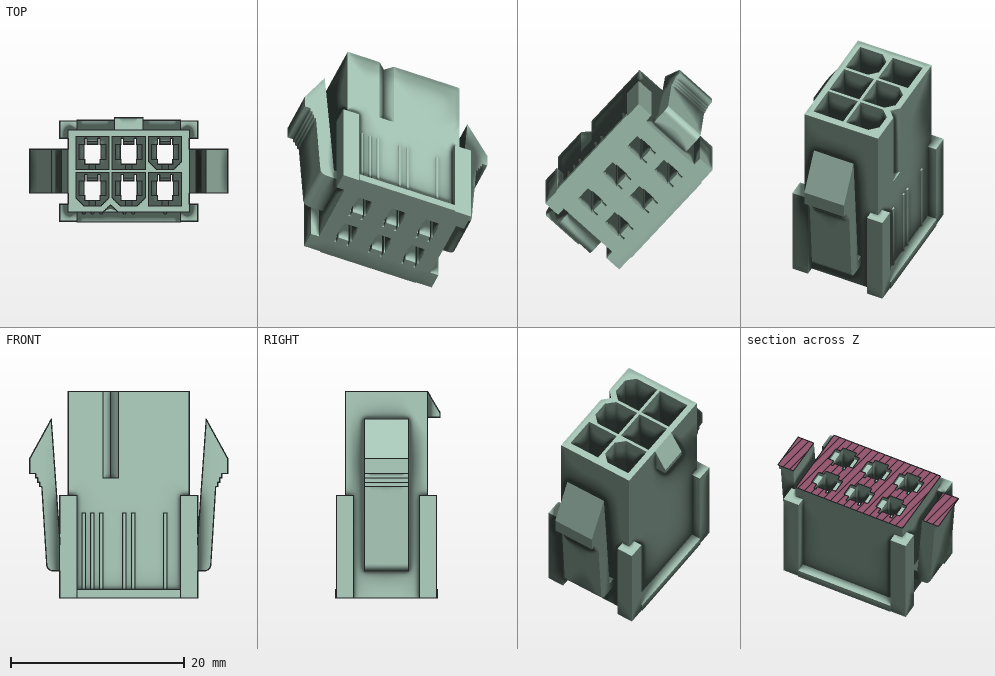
import cadquery as cq

HEIGHT = 23.9
BODY_X = 14.0
BODY_Y = 9.5

POST_SPAN_X = 16.0
POST_SPAN_Y = 11.6
POST_SIDE = 2.0
POST_HEIGHT = 11.9
FLANGE_X = POST_SPAN_X - 2 * POST_SIDE
FLANGE_Y = 11.8
FLANGE_HEIGHT = 1.0

RAMP_WIDTH = 3.35
RAMP_REACH = 6.2
RAMP_HEIGHT = 3.0
RAMP_LIP = 0.55

GROOVE_X = -2.1
GROOVE_HALF_WIDTH = 0.9
GROOVE_DEPTH = 0.85
GROOVE_LENGTH = 10.0

RIB_RADIUS = 0.2
RIB_TOP = 9.85
RIB_POSITIONS = (-5.2, -4.2, -3.2, -0.5, 0.5, 4.2)

LATCH_WIDTH = 5.1
LATCH_OUTER_X = 11.45
LATCH_TIP_X = 8.95
LATCH_TIP_Z = 20.7
LATCH_SHOULDER_Z = 16.15
LATCH_HOOK_Z = 14.4
LATCH_STEP_TOP_X = 10.75
LATCH_STEP_RUN = 0.23
LATCH_STEP_DROP = 0.5
LATCH_STEPS = 3
LATCH_HEEL_X = 9.45
LATCH_BOTTOM_Z = 3.15
LATCH_HEEL_RADIUS = 0.8
LATCH_FLOOR_Z = 4.55
LATCH_FLOOR_X = 7.8

CELL_PITCH = 4.2
CELL_SIDE = 3.85
CELL_DEPTH = 10.0
CELL_CHAMFER = 0.95
CELL_FLOOR_Z = HEIGHT - CELL_DEPTH
COLUMNS = (-1, 0, 1)
ROWS = (-0.5, 0.5)
KEYED_CELLS = ((-1, -0.5), (0, -0.5), (1, 0.5))

WINDOW_HALF_X = 0.97
WINDOW_TOP_Y = 0.98
WINDOW_STEP_Y = -0.73
WINDOW_BOTTOM_Y = -1.28
SLIT_OUTER_X = 0.87
TONGUE_HALF_X = 0.63
SLIT_TOP_Y = 1.7
TONGUE_STEP_Y = 1.32
SIDE_RECESS_HALF_X = 1.55
CHANNEL_HALF_X = 0.37
CHANNEL_DROP = 0.08
RECESS_DEPTH = 1.0


def block(x_min, x_max, y_min, y_max, z_min, z_max):
    """Axis-aligned box given by its limits."""
    size = (x_max - x_min, y_max - y_min, z_max - z_min)
    return cq.Workplane("XY").box(*size, centered=False).translate((x_min, y_min, z_min))


def centered_block(size_x, size_y, height):
    """Box standing on Z = 0, centred in X and Y."""
    return cq.Workplane("XY").box(size_x, size_y, height, centered=(True, True, False))


def make_shell():
    """Body with its corner posts and base flange."""
    post_x = (POST_SPAN_X - POST_SIDE) / 2
    post_y = (POST_SPAN_Y - POST_SIDE) / 2
    shell = centered_block(BODY_X, BODY_Y, HEIGHT)
    shell = shell.union(centered_block(FLANGE_X, FLANGE_Y, FLANGE_HEIGHT))
    for x in (-post_x, post_x):
        for y in (-post_y, post_y):
            shell = shell.union(centered_block(POST_SIDE, POST_SIDE, POST_HEIGHT).translate((x, y, 0)))
    return shell


def make_ramp():
    """Locking ramp rising outward from the top edge of the +Y face."""
    wall_y = BODY_Y / 2
    bottom = HEIGHT - RAMP_HEIGHT
    profile = [(wall_y, HEIGHT), (RAMP_REACH, bottom + RAMP_LIP), (RAMP_REACH, bottom), (wall_y, bottom)]
    return cq.Workplane("YZ").polyline(profile).close().extrude(RAMP_WIDTH / 2, both=True)


def make_groove():
    """V groove cutter, open at the top."""
    wall_y = -BODY_Y / 2
    profile = [
        (GROOVE_X - GROOVE_HALF_WIDTH, wall_y),
        (GROOVE_X, wall_y + GROOVE_DEPTH),
        (GROOVE_X + GROOVE_HALF_WIDTH, wall_y),
    ]
    groove_floor = cq.Workplane("XY").workplane(offset=HEIGHT - GROOVE_LENGTH)
    return groove_floor.polyline(profile).close().extrude(GROOVE_LENGTH)


def make_ribs():
    """Vertical half-round ribs: round bars centred on the -Y face."""
    centers = [(x, -BODY_Y / 2) for x in RIB_POSITIONS]
    return cq.Workplane("XY").pushPoints(centers).circle(RIB_RADIUS).extrude(RIB_TOP)


def make_latch():
    """Flexible +X latch arm: hooked head, stepped throat and a foot joined to the body."""
    wall_x = BODY_X / 2
    profile = [
        (wall_x, LATCH_FLOOR_Z),
        (LATCH_FLOOR_X, LATCH_FLOOR_Z),
        (LATCH_TIP_X, LATCH_TIP_Z),
        (LATCH_OUTER_X, LATCH_SHOULDER_Z),
        (LATCH_OUTER_X, LATCH_HOOK_Z),
    ]
    for step in range(LATCH_STEPS):
        x = LATCH_STEP_TOP_X - step * LATCH_STEP_RUN
        z = LATCH_HOOK_Z - step * LATCH_STEP_DROP
        profile += [(x, z), (x, z - LATCH_STEP_DROP)]
    throat_x = LATCH_STEP_TOP_X - LATCH_STEPS * LATCH_STEP_RUN
    throat_z = LATCH_HOOK_Z - LATCH_STEPS * LATCH_STEP_DROP
    profile += [(throat_x, throat_z), (LATCH_HEEL_X, LATCH_BOTTOM_Z), (wall_x, LATCH_BOTTOM_Z)]
    arm = cq.Workplane("XZ").polyline(profile).close().extrude(LATCH_WIDTH / 2, both=True)
    heel = cq.selectors.NearestToPointSelector((LATCH_HEEL_X, 0, LATCH_BOTTOM_Z))
    return arm.edges("|Y").edges(heel).fillet(LATCH_HEEL_RADIUS)


def make_cell(keyed):
    """Cutter for one contact cell and the passage below it, centred on the Z axis.

    A shallow channel slopes down from the passage to the -Y wall.
    """
    half = CELL_SIDE / 2
    recess_z = CELL_FLOOR_Z - RECESS_DEPTH
    cell = centered_block(CELL_SIDE, CELL_SIDE, CELL_DEPTH).translate((0, 0, CELL_FLOOR_Z))
    if keyed:
        cell = cell.edges("|Z and <Y").chamfer(CELL_CHAMFER)

    cell = cell.union(block(-WINDOW_HALF_X, WINDOW_HALF_X, WINDOW_STEP_Y, WINDOW_TOP_Y, 0, CELL_FLOOR_Z))
    cell = cell.union(block(-SLIT_OUTER_X, SLIT_OUTER_X, WINDOW_BOTTOM_Y, WINDOW_STEP_Y, 0, CELL_FLOOR_Z))
    for x_min, x_max in ((-SLIT_OUTER_X, -TONGUE_HALF_X), (TONGUE_HALF_X, SLIT_OUTER_X)):
        cell = cell.union(block(x_min, x_max, WINDOW_TOP_Y, SLIT_TOP_Y, 0, CELL_FLOOR_Z))

    recesses = (
        (SIDE_RECESS_HALF_X, WINDOW_STEP_Y, WINDOW_TOP_Y),
        (TONGUE_HALF_X, WINDOW_TOP_Y, TONGUE_STEP_Y),
    )
    for half_x, y_min, y_max in recesses:
        cell = cell.union(block(-half_x, half_x, y_min, y_max, recess_z, CELL_FLOOR_Z))

    channel_profile = [
        (WINDOW_BOTTOM_Y, CELL_FLOOR_Z),
        (-half, CELL_FLOOR_Z),
        (-half, CELL_FLOOR_Z - CHANNEL_DROP),
    ]
    channel = cq.Workplane("YZ").polyline(channel_profile).close().extrude(CHANNEL_HALF_X, both=True)
    return cell.union(channel)


result = make_shell().union(make_ramp()).union(make_ribs()).cut(make_groove())

latch = make_latch()
result = result.union(latch).union(latch.mirror("YZ"))

for column in COLUMNS:
    for row in ROWS:
        cutter = make_cell((column, row) in KEYED_CELLS)
        result = result.cut(cutter.translate((column * CELL_PITCH, row * CELL_PITCH, 0)))